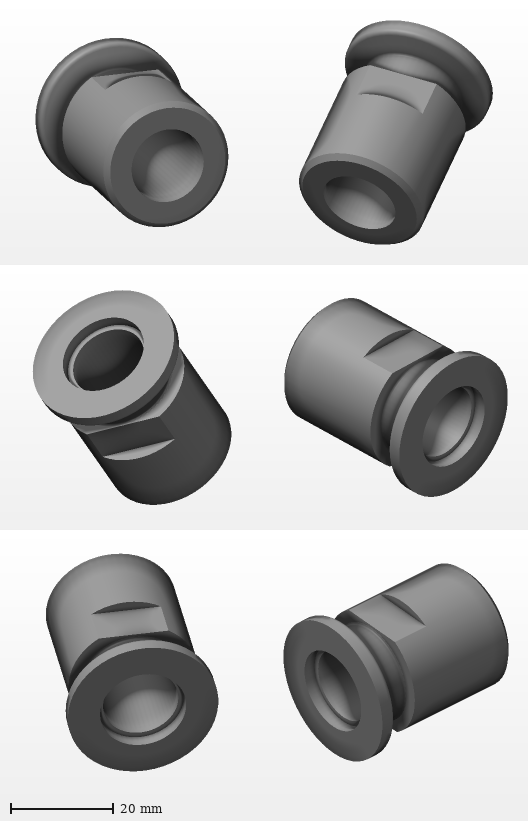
import cadquery as cq
import math

total_length = 35.0
collar_start = 10.0
flat_length = 8.0
recess_depth = 2.6
rim_width = 2.28

flange_diameter = 30.0
neck_diameter = 20.0
collar_diameter = 26.0
bore_diameter = 15.0
recess_diameter = 17.2

rim_round = 1.0
taper_angle = 15.0
neck_fillet = 0.52
end_chamfer = 1.05

upper_flat_height = 11.0
lower_flat_depth = 10.5


def arc_point(center, radius, degrees):
    """Point on a circle, with the angle counted from the +X direction."""
    angle = math.radians(degrees)
    return (center[0] + radius * math.cos(angle), center[1] + radius * math.sin(angle))


def make_outer_shape():
    """Flange, neck and collar turned about the X axis."""
    flange_radius = flange_diameter / 2
    neck_radius = neck_diameter / 2
    collar_radius = collar_diameter / 2

    rim_center = (rim_width, flange_radius - rim_round)
    taper_top = arc_point(rim_center, rim_round, taper_angle)
    rim_mid = arc_point(rim_center, rim_round, (90 + taper_angle) / 2)

    fillet_height = neck_radius + neck_fillet
    taper_foot_height = fillet_height - neck_fillet * math.sin(math.radians(taper_angle))
    taper_run = (taper_top[1] - taper_foot_height) * math.tan(math.radians(taper_angle))
    taper_foot = (taper_top[0] + taper_run, taper_foot_height)
    foot_center = (taper_foot[0] + neck_fillet * math.cos(math.radians(taper_angle)), fillet_height)
    foot_mid = arc_point(foot_center, neck_fillet, 180 + (90 + taper_angle) / 2)

    collar_center = (collar_start - neck_fillet, fillet_height)
    collar_mid = arc_point(collar_center, neck_fillet, -45)

    return (
        cq.Workplane("XY")
        .lineTo(0, flange_radius)
        .lineTo(rim_width, flange_radius)
        .threePointArc(rim_mid, taper_top)
        .lineTo(*taper_foot)
        .threePointArc(foot_mid, (foot_center[0], neck_radius))
        .lineTo(collar_center[0], neck_radius)
        .threePointArc(collar_mid, (collar_start, fillet_height))
        .lineTo(collar_start, collar_radius)
        .lineTo(total_length - end_chamfer, collar_radius)
        .lineTo(total_length, collar_radius - end_chamfer)
        .lineTo(total_length, 0)
        .close()
        .revolve(360, (0, 0, 0), (1, 0, 0))
    )


def cut_bore(body):
    """Through bore with a wider recess in the flange face."""
    bore = cq.Workplane("YZ").circle(bore_diameter / 2).extrude(total_length)
    recess = cq.Workplane("YZ").circle(recess_diameter / 2).extrude(recess_depth)
    return body.cut(bore).cut(recess)


def cut_wrench_flats(body):
    """Two parallel flats, above and below, at the flange end of the collar."""
    cut_height = collar_diameter / 2
    for side, distance in ((1, upper_flat_height), (-1, lower_flat_depth)):
        flat_cut = (
            cq.Workplane("XY")
            .box(flat_length, collar_diameter, cut_height, centered=(False, True, True))
            .translate((collar_start, 0, side * (distance + cut_height / 2)))
        )
        body = body.cut(flat_cut)
    return body


fitting = cut_wrench_flats(cut_bore(make_outer_shape()))

result = cq.Compound.makeCompound([fitting.val()])